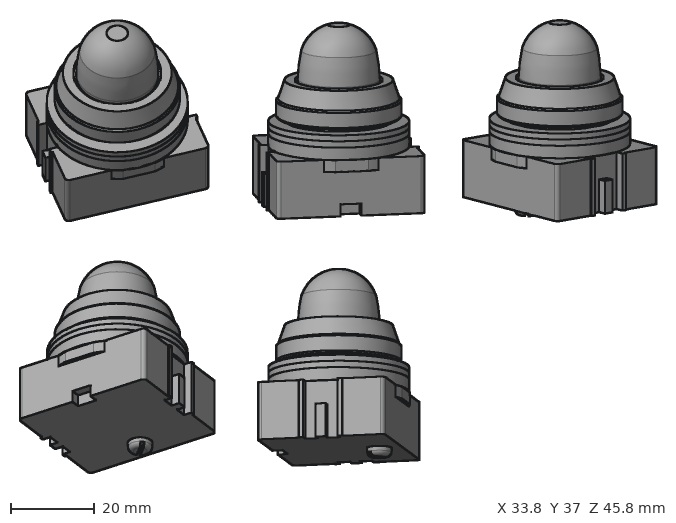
import cadquery as cq
import math

block_bottom = 2.15
block_top = 16.15
flange_top = 19.2
gasket_top = 20.75
plate_top = 22.25
bezel_bottom = 23.2
bezel_top = 32.3
lens_bottom = 31.3
lens_shoulder = 39.57
lens_top = 45.75

block_length = 31.35
block_width = 36.15
block_corner_radius = 1.0
overall_width = 37.0
rib_inner_x = 4.25
rib_thickness = 1.1
channel_floor_y = 16.35
key_width = 2.4
key_height = 8.05
notch_width = 5.12
notch_height = 2.97
notch_depth = 2.45
lug_radius = 17.0
lug_span = 33.1
lug_height = 2.95

ring_diameter = 33.8
ring_radius = ring_diameter / 2
neck_radius = 12.63
neck_groove_width = 4.15
neck_groove_depth = 0.27
neck_groove_count = 4

bezel_radius = 15.05
bezel_top_radius = 13.05
bezel_chamfer = 0.45
bezel_rim_height = 4.1
bezel_recess_radius = 10.5

lens_radius = 9.85
lens_collar_top = 32.5
lens_shoulder_radius = 9.0
lens_tip_radius = 2.55
lens_side_bulge = 0.2

screw_x = 10.0
screw_radius = 3.0
screw_rim_radius = 2.95
screw_tip_radius = 1.65
screw_rim_height = 1.1
screw_slot_width = 0.9
screw_slot_depth = 1.0
screw_slot_angle = 45


def box_between(x_range, y_range, z_range):
    """Box spanning the given (low, high) limits on each axis."""
    lows, highs = zip(x_range, y_range, z_range)
    size = [high - low for low, high in zip(lows, highs)]
    return cq.Workplane("XY").box(*size, centered=False).translate(lows)


def disc(radius, bottom, top):
    """Plain round disc about the Z axis."""
    return cq.Workplane("XY").workplane(offset=bottom).circle(radius).extrude(top - bottom)


def make_block():
    """Terminal block with ribbed channels on both Y sides, side lugs and a wire notch."""
    block_z = (block_bottom, block_top)
    block_height = block_top - block_bottom
    rib_outer_x = rib_inner_x + rib_thickness
    outer_y = overall_width / 2

    body = (
        cq.Workplane("XY")
        .workplane(offset=block_bottom)
        .rect(block_length, block_width)
        .extrude(block_height)
        .edges("|Z")
        .fillet(block_corner_radius)
    )

    ribs = box_between((-rib_outer_x, rib_outer_x), (-outer_y, outer_y), block_z)
    body = body.union(ribs)
    for channel_y in ((-outer_y, -channel_floor_y), (channel_floor_y, outer_y)):
        body = body.cut(box_between((-rib_inner_x, rib_inner_x), channel_y, block_z))

    key_z = (block_bottom, block_bottom + key_height)
    body = body.union(box_between((-key_width / 2, key_width / 2), (-outer_y, outer_y), key_z))

    lugs = disc(lug_radius, block_top - lug_height, block_top)
    lug_limits = box_between(
        (-lug_span / 2, lug_span / 2), (-channel_floor_y, channel_floor_y), block_z
    )
    body = body.union(lugs.intersect(lug_limits))

    notch = box_between(
        (-block_length / 2, -block_length / 2 + notch_depth),
        (-notch_width / 2, notch_width / 2),
        (block_bottom, block_bottom + notch_height),
    )
    return body.cut(notch)


def make_neck():
    """Short neck with shallow grooves on the X and Y axes."""
    neck = disc(neck_radius, plate_top, bezel_bottom)
    groove = box_between(
        (neck_radius - neck_groove_depth, neck_radius),
        (-neck_groove_width / 2, neck_groove_width / 2),
        (plate_top, bezel_bottom),
    )
    for index in range(neck_groove_count):
        angle = index * 360 / neck_groove_count
        neck = neck.cut(groove.rotate((0, 0, 0), (0, 0, 1), angle))
    return neck


def make_bezel():
    """Conical bezel over a chamfered rim, with a recess that seats the lens."""
    rim_top = bezel_bottom + bezel_rim_height
    chamfered_radius = bezel_radius - bezel_chamfer
    profile = [
        (0, bezel_bottom),
        (chamfered_radius, bezel_bottom),
        (bezel_radius, bezel_bottom + bezel_chamfer),
        (bezel_radius, rim_top),
        (chamfered_radius, rim_top + bezel_chamfer),
        (bezel_top_radius, bezel_top),
        (0, bezel_top),
    ]
    bezel = cq.Workplane("XZ").polyline(profile).close().revolve(360, (0, 0), (0, 1))
    return bezel.cut(disc(bezel_recess_radius, lens_bottom, bezel_top))


def make_lens():
    """Dome lens: short collar, slightly bulging side, spherical crown and flat tip."""
    side_height = lens_shoulder - lens_collar_top
    side_mid = (
        (lens_radius + lens_shoulder_radius) / 2 + lens_side_bulge,
        lens_collar_top + side_height / 2,
    )

    crown_rise = lens_top - lens_shoulder
    tip_above_centre = (lens_shoulder_radius**2 - lens_tip_radius**2 + crown_rise**2) / (2 * crown_rise)
    crown_radius = math.hypot(lens_tip_radius, tip_above_centre)
    crown_mid_x = (lens_shoulder_radius + lens_tip_radius) / 2
    crown_centre_z = lens_top - tip_above_centre
    crown_mid = (crown_mid_x, crown_centre_z + math.sqrt(crown_radius**2 - crown_mid_x**2))

    return (
        cq.Workplane("XZ")
        .moveTo(0, lens_bottom)
        .lineTo(lens_radius, lens_bottom)
        .lineTo(lens_radius, lens_collar_top)
        .threePointArc(side_mid, (lens_shoulder_radius, lens_shoulder))
        .threePointArc(crown_mid, (lens_tip_radius, lens_top))
        .lineTo(0, lens_top)
        .close()
        .revolve(360, (0, 0), (0, 1))
    )


def make_screw():
    """Slotted screw head under the block, tapering to a rounded rim."""
    head = (
        cq.Workplane("XZ")
        .lineTo(screw_tip_radius, 0)
        .tangentArcPoint((screw_rim_radius, screw_rim_height), relative=False)
        .lineTo(screw_radius, block_bottom)
        .lineTo(0, block_bottom)
        .close()
        .revolve(360, (0, 0), (0, 1))
    )
    slot = box_between(
        (-screw_radius, screw_radius),
        (-screw_slot_width / 2, screw_slot_width / 2),
        (0, screw_slot_depth),
    ).rotate((0, 0, 0), (0, 0, 1), screw_slot_angle)
    return head.cut(slot).translate((screw_x, 0, 0))


block = make_block()
flange = disc(ring_radius, block_top, flange_top)
gasket = disc(ring_radius, flange_top, gasket_top)
plate = disc(ring_radius, gasket_top, plate_top)
neck = make_neck()
bezel = make_bezel()
lens = make_lens()
screw = make_screw()

result = cq.Compound.makeCompound(
    [
        block.val(),
        flange.val(),
        gasket.val(),
        plate.val(),
        neck.val(),
        bezel.val(),
        lens.val(),
        screw.val(),
    ]
)